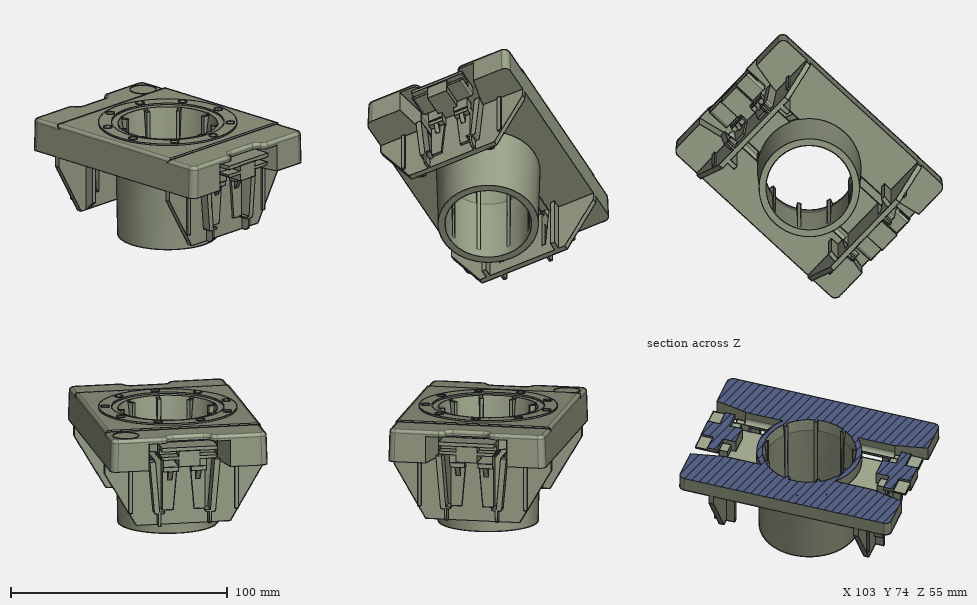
import cadquery as cq
import math

PLATE_LENGTH = 103.0
PLATE_HALF_WIDTH = 37.0
PLATE_TOP_HALF_WIDTH = 36.5
PLATE_TOP = 15.1
CORNER_RADIUS = 3.0
EDGE_RADIUS = 1.5

STRIP_TOP = 16.0
STRIP_HALF_LENGTH = 36.0
STRIP_TIP = 15.5
STRIP_TIP_BEVEL = 0.6
STRIP_ROOT = 13.4

RING_OUTER_DIAMETER = 64.0
RING_INNER_DIAMETER = 52.0
RING_TOP = 16.7
PIN_COUNT = 9
PIN_DIAMETER = 4.0
PIN_CIRCLE_RADIUS = 28.9
PIN_TOP = 17.0

COLLAR_RADIUS = 24.3
COLLAR_BOTTOM = 1.0
SLEEVE_BOTTOM = -38.0
SLEEVE_ROOT_RADIUS = 24.0
SLEEVE_END_RADIUS = 23.2
BORE_TOP_RADIUS = 23.0
BORE_MIDDLE_RADIUS = 20.8
BORE_MIDDLE = COLLAR_BOTTOM
BORE_END_RADIUS = 20.0
RIB_INNER_RADIUS = 20.1
RIB_WIDTH = 1.6
RIB_TOP = 15.0
RIM_NOTCH_RADIUS = 23.3

LABEL_DIAMETER = 12.0
LABEL_X = -43.0
LABEL_Y = 28.4
LABEL_DEPTH = 0.2

NOTCH_MOUTH = 13.0
NOTCH_FLOOR = 7.2
NOTCH_DEPTH = 3.9
SKIN_UNDERSIDE = 12.6
POCKET_MOUTH = 19.2
POCKET_BACK = 16.1
WINDOW_HALF_WIDTH = 15.9
WINDOW_BOTTOM = COLLAR_BOTTOM
WINDOW_ROUND = 2.1

END_X = -PLATE_LENGTH / 2
LEG_OUTER_X = -36.5
LEG_INNER_X = -34.1
LEG_HALF_WIDTH = PLATE_HALF_WIDTH
LEG_SHOULDER = -4.5
LEG_FOOT = -29.8
LEG_FOOT_HALF_WIDTH = 22.1
WING_OUTER_X = -40.5
TONGUE_X = -37.5
WING_TOP = WINDOW_BOTTOM
WING_BOTTOM = -23.9
SLOT_BOTTOM = -22.9
WING_ROUND = 0.9
INNER_RIB_X = -30.0
INNER_RIB_Y = 16.8
INNER_RIB_WIDTH = 2.1
FOOT_RIB_Y = 11.9
FOOT_RIB_WIDTH = 1.0
FOOT_RIB_RADIUS = 2.5
EDGE_RIB_Y = 24.9
EDGE_RIB_WIDTH = 1.8
EDGE_RIB_HEIGHT = 0.9
EDGE_RIB_ROUND = 0.7
TONGUE_HALF_WIDTH = 10.1
TONGUE_GAP_FOOT = 4.9

WING_OUTER_TOP = 16.6
WING_OUTER_FOOT = 14.3
WING_INNER_TOP = 13.9
WING_INNER_FOOT = 11.9
WING_HOOK = 9.6

BUTTON_HALF_WIDTH = 13.1
BUTTON_TOP = 10.3
BUTTON_BOTTOM = 4.4
LIP_UNDERSIDE = 8.5
LOWER_LIP_TOP = 5.9
LIP_ROUND = 1.2
LIP_GROOVE_FLOOR_X = -45.3
WEB_HALF_WIDTH = 4.9
WEB_X = -51.1
BLOCK_X = WING_OUTER_X
BLOCK_STEP_X = -39.9
BLOCK_STEP = -1.9
BLOCK_BOTTOM = -4.1
BLOCK_GAP = 3.1
GUSSET_Y = 6.6
GUSSET_WIDTH = 2.2
GUSSET_BOTTOM = -8.5


def block(x0, x1, y0, y1, z0, z1):
    """Axis-aligned box between two corners."""
    size = (x1 - x0, y1 - y0, z1 - z0)
    return cq.Workplane("XY").box(*size, centered=False).translate((x0, y0, z0))


def prism_along_x(points, x0, x1):
    """Extrude a (y, z) outline from x0 to x1."""
    return cq.Workplane("YZ").workplane(offset=x0).polyline(points).close().extrude(x1 - x0)


def prism_along_y(points, y_middle, width):
    """Extrude an (x, z) outline, centred on y_middle."""
    outline = cq.Workplane("XZ").workplane(offset=-y_middle).polyline(points).close()
    return outline.extrude(width / 2, both=True)


def both_sides(shape):
    """A shape together with its mirror image across the XZ plane."""
    return shape.union(shape.mirror("XZ"))


def at_pin_angles(shape):
    """Copies of a shape at the evenly spaced pin angles around the Z axis."""
    ring = shape
    for index in range(1, PIN_COUNT):
        ring = ring.union(shape.rotate((0, 0, 0), (0, 0, 1), index * 360 / PIN_COUNT))
    return ring


def drafted_slab(top):
    """Slab whose long sides lean inward, with rounded upright corners."""
    draft = (PLATE_HALF_WIDTH - PLATE_TOP_HALF_WIDTH) / PLATE_TOP
    top_half = PLATE_HALF_WIDTH - draft * top
    outline = [(-PLATE_HALF_WIDTH, 0), (PLATE_HALF_WIDTH, 0), (top_half, top), (-top_half, top)]
    slab = prism_along_x(outline, END_X, -END_X)
    upright_edges = slab.edges("not(#Z or |Y or |X)")
    return upright_edges.fillet(CORNER_RADIUS)


def finger_notch():
    """Cutter for the finger notch: S-shaped flanks and a straight floor."""
    floor_x = END_X + NOTCH_DEPTH
    middle_x = END_X + NOTCH_DEPTH / 2
    middle_y = (NOTCH_MOUTH + NOTCH_FLOOR) / 2
    half_chord = math.hypot(NOTCH_DEPTH, NOTCH_MOUTH - NOTCH_FLOOR) / 2
    flank_angle = math.atan2(NOTCH_DEPTH, NOTCH_MOUTH - NOTCH_FLOOR)
    radius = half_chord / (2 * math.sin(flank_angle))
    return (
        cq.Workplane("XY", origin=(0, 0, SKIN_UNDERSIDE))
        .moveTo(END_X, -NOTCH_MOUTH)
        .radiusArc((middle_x, -middle_y), radius)
        .radiusArc((floor_x, -NOTCH_FLOOR), -radius)
        .lineTo(floor_x, NOTCH_FLOOR)
        .radiusArc((middle_x, middle_y), -radius)
        .radiusArc((END_X, NOTCH_MOUTH), radius)
        .close()
        .extrude(PLATE_TOP)
    )


def both_ends(shape):
    """A shape together with its copy turned half a revolution about Z."""
    return shape.union(shape.rotate((0, 0, 0), (0, 0, 1), 180))


def window():
    """Cutter from the pocket to the sleeve: rounded opening with two tapered slots below it."""
    reach = -LEG_OUTER_X
    height = SKIN_UNDERSIDE - WINDOW_BOTTOM
    middle = (0, (SKIN_UNDERSIDE + WINDOW_BOTTOM) / 2)
    opening = (
        cq.Workplane("YZ", origin=(LEG_OUTER_X, 0, 0))
        .center(*middle)
        .rect(2 * WINDOW_HALF_WIDTH, height)
        .extrude(reach)
        .edges("|X")
        .fillet(WINDOW_ROUND)
    )
    slot_outline = [
        (TONGUE_HALF_WIDTH, WINDOW_BOTTOM),
        (WING_INNER_TOP, WINDOW_BOTTOM),
        (WING_INNER_FOOT, SLOT_BOTTOM),
        (TONGUE_HALF_WIDTH, SLOT_BOTTOM),
    ]
    slot = prism_along_x(slot_outline, LEG_OUTER_X, 0)
    return opening.union(both_sides(slot))


def cover_plate():
    """Plate with end notches, undercut middle strip and clip pockets."""
    plate = drafted_slab(PLATE_TOP).cut(both_ends(finger_notch()))
    plate = plate.faces(">Z").edges().fillet(EDGE_RADIUS)

    root_half_length = STRIP_HALF_LENGTH - (STRIP_TIP - STRIP_ROOT)
    top_half_length = STRIP_HALF_LENGTH - STRIP_TIP_BEVEL
    strip_outline = [
        (-root_half_length, 0),
        (root_half_length, 0),
        (root_half_length, STRIP_ROOT),
        (STRIP_HALF_LENGTH, STRIP_TIP),
        (top_half_length, STRIP_TOP),
        (-top_half_length, STRIP_TOP),
        (-STRIP_HALF_LENGTH, STRIP_TIP),
        (-root_half_length, STRIP_ROOT),
    ]
    strip = drafted_slab(STRIP_TOP).faces(">Z").edges("|X").fillet(EDGE_RADIUS)
    strip_zone = prism_along_y(strip_outline, 0, 3 * PLATE_HALF_WIDTH)
    strip = strip.intersect(strip_zone)
    ends = plate.cut(strip_zone)

    pocket = (
        cq.Workplane("XY")
        .polyline([
            (END_X, -POCKET_MOUTH),
            (LEG_OUTER_X, -POCKET_BACK),
            (LEG_OUTER_X, POCKET_BACK),
            (END_X, POCKET_MOUTH),
        ])
        .close()
        .extrude(SKIN_UNDERSIDE)
    )
    label = (
        cq.Workplane("XY", origin=(LABEL_X, LABEL_Y, PLATE_TOP))
        .circle(LABEL_DIAMETER / 2)
        .extrude(-LABEL_DEPTH)
    )
    return ends.union(strip).cut(both_ends(pocket)).cut(both_ends(window())).cut(label)


def ring_and_pins():
    """Flat raised ring carrying evenly spaced pins."""
    ring = (
        cq.Workplane("XY", origin=(0, 0, STRIP_ROOT))
        .circle(RING_OUTER_DIAMETER / 2)
        .circle(RING_INNER_DIAMETER / 2)
        .extrude(RING_TOP - STRIP_ROOT)
    )
    pin = (
        cq.Workplane("XY", origin=(PIN_CIRCLE_RADIUS, 0, STRIP_ROOT))
        .circle(PIN_DIAMETER / 2)
        .extrude(PIN_TOP - STRIP_ROOT)
    )
    return ring.union(at_pin_angles(pin))


def revolve_about_z(points):
    """Revolve an (r, z) outline around the Z axis."""
    return cq.Workplane("XZ").polyline(points).close().revolve(360, (0, 0, 0), (0, 1, 0))


def sleeve():
    """Solid tapered sleeve hanging from a slightly wider collar under the top skin."""
    return revolve_about_z([
        (0, SKIN_UNDERSIDE),
        (COLLAR_RADIUS, SKIN_UNDERSIDE),
        (COLLAR_RADIUS, COLLAR_BOTTOM),
        (SLEEVE_ROOT_RADIUS, COLLAR_BOTTOM),
        (SLEEVE_END_RADIUS, SLEEVE_BOTTOM),
        (0, SLEEVE_BOTTOM),
    ])


def bore():
    """Cutter for the two-stage tapered bore: leaves grip ribs standing, notches the rim above them."""
    cone = revolve_about_z([
        (0, STRIP_TOP),
        (BORE_TOP_RADIUS, STRIP_TOP),
        (BORE_MIDDLE_RADIUS, BORE_MIDDLE),
        (BORE_END_RADIUS, SLEEVE_BOTTOM),
        (0, SLEEVE_BOTTOM),
    ])
    half_width = RIB_WIDTH / 2
    rib = block(
        RIB_INNER_RADIUS, SLEEVE_ROOT_RADIUS, -half_width, half_width, SLEEVE_BOTTOM, RIB_TOP
    )
    rim_notch = block(
        RIB_INNER_RADIUS, RIM_NOTCH_RADIUS, -half_width, half_width, RIB_TOP, STRIP_TOP
    )
    return cone.cut(at_pin_angles(rib)).union(at_pin_angles(rim_notch))


def leg():
    """Flat leg with sloping flanks, slotted beside the tongue, with edge ribs."""
    outline = [
        (-LEG_HALF_WIDTH, 0),
        (-LEG_HALF_WIDTH, LEG_SHOULDER),
        (-LEG_FOOT_HALF_WIDTH, LEG_FOOT),
        (LEG_FOOT_HALF_WIDTH, LEG_FOOT),
        (LEG_HALF_WIDTH, LEG_SHOULDER),
        (LEG_HALF_WIDTH, 0),
    ]
    edge_rib = block(
        LEG_OUTER_X - EDGE_RIB_HEIGHT,
        LEG_OUTER_X,
        EDGE_RIB_Y - EDGE_RIB_WIDTH / 2,
        EDGE_RIB_Y + EDGE_RIB_WIDTH / 2,
        WING_BOTTOM,
        0,
    )
    edge_rib = edge_rib.faces("<Z").edges("|X").fillet(EDGE_RIB_ROUND)
    return prism_along_x(outline, LEG_OUTER_X, LEG_INNER_X).union(both_sides(edge_rib))


def wing():
    """Wall at +Y that guards the tongue, hooked inward at its foot."""
    outline = [
        (WING_OUTER_TOP, WING_TOP),
        (WING_OUTER_FOOT, WING_BOTTOM),
        (WING_HOOK, WING_BOTTOM),
        (WING_HOOK, SLOT_BOTTOM),
        (WING_INNER_FOOT, SLOT_BOTTOM),
        (WING_INNER_TOP, WING_TOP),
    ]
    wall = prism_along_x(outline, WING_OUTER_X, LEG_OUTER_X)
    return wall.faces("<Z").edges("|X").fillet(WING_ROUND)


def tongue():
    """Tongue between the slots, carrying two pads that narrow toward the foot."""
    body = block(
        LEG_OUTER_X, LEG_INNER_X, -TONGUE_HALF_WIDTH, TONGUE_HALF_WIDTH, SLOT_BOTTOM, WING_TOP
    )
    pad_outline = [
        (TONGUE_HALF_WIDTH, WING_TOP),
        (TONGUE_HALF_WIDTH, SLOT_BOTTOM),
        (TONGUE_GAP_FOOT, SLOT_BOTTOM),
        (BLOCK_GAP, BLOCK_STEP),
        (BLOCK_GAP, WING_TOP),
    ]
    pad = prism_along_x(pad_outline, TONGUE_X, LEG_OUTER_X)
    return body.union(both_sides(pad))


def foot_rib(rounded):
    """Upright rib from the wing to the foot of the leg, its outer corner rounded or square."""
    rib = block(
        WING_OUTER_X,
        LEG_OUTER_X,
        FOOT_RIB_Y - FOOT_RIB_WIDTH / 2,
        FOOT_RIB_Y + FOOT_RIB_WIDTH / 2,
        LEG_FOOT,
        WING_BOTTOM,
    )
    if rounded:
        rib = rib.edges("<X and <Z").fillet(FOOT_RIB_RADIUS)
    return rib


def inner_rib(chamfered):
    """Stiffening rib on the bore side of the leg, its lower corner bevelled or square."""
    corner_z = LEG_FOOT + INNER_RIB_X - LEG_INNER_X
    outline = [(LEG_INNER_X, 0), (INNER_RIB_X, 0), (INNER_RIB_X, LEG_FOOT), (LEG_INNER_X, LEG_FOOT)]
    if chamfered:
        outline[2] = (INNER_RIB_X, corner_z)
    return prism_along_y(outline, INNER_RIB_Y + INNER_RIB_WIDTH / 2, INNER_RIB_WIDTH)


def button():
    """Push button: two lips with a groove between them, joined to the tongue by a middle web."""
    upper_lip = block(
        END_X, BLOCK_X, -BUTTON_HALF_WIDTH, BUTTON_HALF_WIDTH, LIP_UNDERSIDE, BUTTON_TOP
    )
    lower_body = block(
        WEB_X, BLOCK_X, -BUTTON_HALF_WIDTH, BUTTON_HALF_WIDTH, BUTTON_BOTTOM, LIP_UNDERSIDE
    )
    lower_body = lower_body.edges("|X and <Z").fillet(LIP_ROUND)
    groove = block(
        WEB_X,
        LIP_GROOVE_FLOOR_X,
        WEB_HALF_WIDTH,
        BUTTON_HALF_WIDTH,
        LOWER_LIP_TOP,
        LIP_UNDERSIDE,
    )
    web = block(WEB_X, LEG_INNER_X, -WEB_HALF_WIDTH, WEB_HALF_WIDTH, WING_TOP, LIP_UNDERSIDE)
    return upper_lip.union(lower_body.cut(both_sides(groove))).union(web)


def stop_block():
    """Stepped block under the button at +Y, propped by a sloping gusset."""
    upper = block(BLOCK_X, LEG_OUTER_X, BLOCK_GAP, TONGUE_HALF_WIDTH, BLOCK_STEP, BUTTON_BOTTOM)
    lower = block(BLOCK_STEP_X, LEG_OUTER_X, BLOCK_GAP, TONGUE_HALF_WIDTH, BLOCK_BOTTOM, BLOCK_STEP)
    gusset_outline = [
        (TONGUE_X, GUSSET_BOTTOM),
        (TONGUE_X, BLOCK_BOTTOM),
        (BLOCK_STEP_X, BLOCK_BOTTOM),
    ]
    return upper.union(lower).union(prism_along_y(gusset_outline, GUSSET_Y, GUSSET_WIDTH))


def clip(square_rib, chamfered):
    """Complete clip at the -X end."""
    ribs = foot_rib(True).mirror("XZ").union(foot_rib(not square_rib))
    return (
        leg()
        .cut(window())
        .union(tongue())
        .union(both_sides(wing()))
        .union(ribs)
        .union(both_sides(inner_rib(chamfered)))
        .union(button())
        .union(both_sides(stop_block()))
    )


left_clip = clip(square_rib=True, chamfered=True)
right_clip = clip(square_rib=False, chamfered=False).rotate((0, 0, 0), (0, 0, 1), 180)

result = (
    cover_plate()
    .union(ring_and_pins())
    .union(sleeve())
    .cut(bore())
    .union(left_clip)
    .union(right_clip)
)